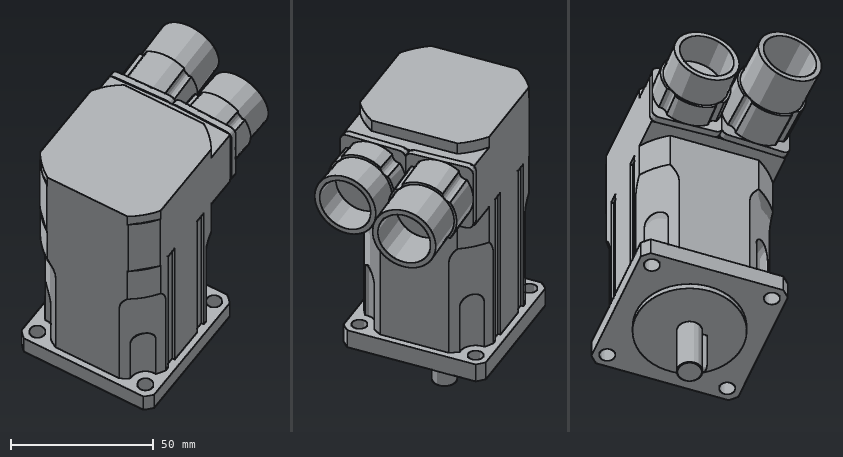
import cadquery as cq
import math


FLANGE_WIDTH = 55.0
FLANGE_THICKNESS = 7.3
FLANGE_CORNER_DIAMETER = 74.0
HOLE_CIRCLE_DIAMETER = 63.5
HOLE_DIAMETER = 5.6
HOLE_OFFSET = HOLE_CIRCLE_DIAMETER / 2 / math.sqrt(2)
PILOT_DIAMETER = 40.0
PILOT_HEIGHT = 2.3

SHAFT_DIAMETER = 9.0
SHAFT_LENGTH = 21.6
SHAFT_CHAMFER = 0.2
KEY_WIDTH = 3.0
KEY_LENGTH = 17.9
KEY_CLEARANCE = 0.6
KEY_REACH = 6.0

OVERALL_HEIGHT = 122.0
BODY_WIDTH = 50.0
BODY_TOP = OVERALL_HEIGHT - SHAFT_LENGTH - PILOT_HEIGHT
BODY_CORNER_RADIUS = 30.0
WAIST_CORNER_RADIUS = 28.3
WAIST_TOP = 45.6
WAIST_BLEND_RADIUS = 16.0
SCREW_RELIEF_RADIUS = 6.0
SCREW_RELIEF_TOP = 26.2
SLOT_WIDTH = 4.3
SLOT_OFFSET = 9.5
SLOT_DEPTH = 1.0

BLOCK_HEIGHT = 25.5
CAP_HEIGHT = 4.5
BLOCK_CHAMFER = 8.2
BLOCK_APEX_Y = 29.9
BLOCK_TOP = BODY_TOP - CAP_HEIGHT
BLOCK_BOTTOM = BLOCK_TOP - BLOCK_HEIGHT

TILT_DEGREES = 2.0
CONNECTOR_OFFSET = 12.7
COLLAR_DIAMETER = 26.0
BARREL_DIAMETER = 24.0
CONNECTOR_Z = BLOCK_BOTTOM + COLLAR_DIAMETER / 2
BORE_DIAMETER = 20.0
PLATE_THICKNESS = 2.6
PLATE_CORNER_RADIUS = 2.7
POWER_COLLAR_END = 17.6
POWER_BARREL_END = 34.2
SIGNAL_COLLAR_END = 11.7
SIGNAL_BARREL_END = 24.2


def cylinder(radius, bottom, top):
    return cq.Workplane("XY").workplane(offset=bottom).circle(radius).extrude(top - bottom)


def square_column(width, bottom, top):
    return cq.Workplane("XY").workplane(offset=bottom).rect(width, width).extrude(top - bottom)


def corner_positions():
    return [(sx * HOLE_OFFSET, sy * HOLE_OFFSET) for sx in (-1, 1) for sy in (-1, 1)]


def make_flange():
    """Square flange with turned corners, four screw holes and a round pilot below it."""
    flange = square_column(FLANGE_WIDTH, 0, FLANGE_THICKNESS)
    flange = flange.intersect(cylinder(FLANGE_CORNER_DIAMETER / 2, 0, FLANGE_THICKNESS))
    flange = flange.cut(
        cq.Workplane("XY").pushPoints(corner_positions()).circle(HOLE_DIAMETER / 2).extrude(FLANGE_THICKNESS)
    )
    return flange.union(cylinder(PILOT_DIAMETER / 2, -PILOT_HEIGHT, 0))


def turned_envelope():
    """Round envelope that trims the column's corners: a slimmer waist flares out to the upper part."""
    flare = BODY_CORNER_RADIUS - WAIST_CORNER_RADIUS
    flare_height = math.sqrt(WAIST_BLEND_RADIUS**2 - (WAIST_BLEND_RADIUS - flare) ** 2)
    half_angle = math.asin(flare_height / WAIST_BLEND_RADIUS) / 2
    arc_middle = (
        WAIST_CORNER_RADIUS + WAIST_BLEND_RADIUS * (1 - math.cos(half_angle)),
        WAIST_TOP + WAIST_BLEND_RADIUS * math.sin(half_angle),
    )
    return (
        cq.Workplane("XZ")
        .moveTo(0, 0)
        .lineTo(WAIST_CORNER_RADIUS, 0)
        .lineTo(WAIST_CORNER_RADIUS, WAIST_TOP)
        .threePointArc(arc_middle, (BODY_CORNER_RADIUS, WAIST_TOP + flare_height))
        .lineTo(BODY_CORNER_RADIUS, BODY_TOP)
        .lineTo(0, BODY_TOP)
        .close()
        .revolve(360, (0, 0, 0), (0, 1, 0))
    )


def make_screw_reliefs():
    """Round-ended clearance above each flange hole."""
    reliefs = (
        cq.Workplane("XY")
        .workplane(offset=FLANGE_THICKNESS)
        .pushPoints(corner_positions())
        .circle(SCREW_RELIEF_RADIUS)
        .extrude(SCREW_RELIEF_TOP - FLANGE_THICKNESS)
    )
    ends = (
        cq.Workplane("XY")
        .workplane(offset=SCREW_RELIEF_TOP)
        .pushPoints(corner_positions())
        .sphere(SCREW_RELIEF_RADIUS)
    )
    return reliefs.union(ends)


def make_side_slots():
    """Two shallow vertical slots in each of the -X and +X sides, from the flange to the block."""
    centres = [(sx * BODY_WIDTH / 2, sy * SLOT_OFFSET) for sx in (-1, 1) for sy in (-1, 1)]
    return (
        cq.Workplane("XY")
        .workplane(offset=FLANGE_THICKNESS)
        .pushPoints(centres)
        .rect(2 * SLOT_DEPTH, SLOT_WIDTH)
        .extrude(BLOCK_BOTTOM - FLANGE_THICKNESS)
    )


def make_block():
    """Block with chamfered front corners and a rear face of two halves that meet in a blunt V."""
    half = BODY_WIDTH / 2
    rear_edge_y = BLOCK_APEX_Y - half * math.tan(math.radians(TILT_DEGREES))
    return (
        cq.Workplane("XY")
        .workplane(offset=BLOCK_BOTTOM)
        .polyline([
            (-half + BLOCK_CHAMFER, -half),
            (half - BLOCK_CHAMFER, -half),
            (half, -half + BLOCK_CHAMFER),
            (half, rear_edge_y),
            (0, BLOCK_APEX_Y),
            (-half, rear_edge_y),
            (-half, -half + BLOCK_CHAMFER),
        ])
        .close()
        .extrude(BLOCK_HEIGHT)
    )


def make_column():
    """Square column with turned corners, with the connector block set between its waist and cap."""
    column = square_column(BODY_WIDTH, FLANGE_THICKNESS, BODY_TOP)
    column = column.intersect(turned_envelope())
    column = column.cut(make_screw_reliefs()).cut(make_side_slots())
    block_band = square_column(FLANGE_WIDTH, BLOCK_BOTTOM, BLOCK_TOP)
    return column.cut(block_band).union(make_block())


def make_shaft():
    """Output shaft with its chamfered end and a round-ended key on the -X side."""
    shaft_end = -PILOT_HEIGHT - SHAFT_LENGTH
    shaft = cylinder(SHAFT_DIAMETER / 2, shaft_end, -PILOT_HEIGHT)
    shaft = shaft.faces("<Z").chamfer(SHAFT_CHAMFER)
    key_middle_z = -PILOT_HEIGHT - KEY_CLEARANCE - KEY_LENGTH / 2
    key = (
        cq.Workplane("YZ")
        .center(0, key_middle_z)
        .slot2D(KEY_LENGTH, KEY_WIDTH, 90)
        .extrude(-KEY_REACH)
    )
    return shaft.union(key)


def make_motor():
    """Flange, housing column and shaft as one body."""
    return make_flange().union(make_column()).union(make_shaft())


def connector_disc(diameter, start, end):
    """Round section of an untilted connector along +Y."""
    return cq.Workplane("XZ").workplane(offset=-start).circle(diameter / 2).extrude(start - end)


def make_connector_plate():
    return (
        cq.Workplane("XZ")
        .rect(COLLAR_DIAMETER, COLLAR_DIAMETER)
        .extrude(-PLATE_THICKNESS)
        .edges("|Y")
        .fillet(PLATE_CORNER_RADIUS)
    )


def make_collar(collar_end):
    """Round collar with four screw grooves, each concentric with a rounded corner of the plate."""
    groove_spacing = COLLAR_DIAMETER - 2 * PLATE_CORNER_RADIUS
    grooves = (
        cq.Workplane("XZ")
        .workplane(offset=-PLATE_THICKNESS)
        .rect(groove_spacing, groove_spacing, forConstruction=True)
        .vertices()
        .circle(PLATE_CORNER_RADIUS)
        .extrude(PLATE_THICKNESS - collar_end)
    )
    return connector_disc(COLLAR_DIAMETER, PLATE_THICKNESS, collar_end).cut(grooves)


def make_connector(side, collar_end, barrel_end):
    """Connector on the -X (side -1) or +X (side +1) half of the block's rear face.

    The lengths run outward from that face. The plate and collar are cut flat on the
    mid-plane X = 0, where the two connectors meet.
    """
    connector = make_connector_plate().union(make_collar(collar_end))
    connector = connector.union(connector_disc(BARREL_DIAMETER, collar_end, barrel_end))
    connector = connector.cut(connector_disc(BORE_DIAMETER, collar_end, barrel_end))
    connector = (
        connector.translate((side * CONNECTOR_OFFSET, 0, 0))
        .rotate((0, 0, 0), (0, 0, 1), -side * TILT_DEGREES)
        .translate((0, BLOCK_APEX_Y, CONNECTOR_Z))
    )
    half_space_size = 3 * OVERALL_HEIGHT
    own_half = cq.Workplane("XY").box(half_space_size, half_space_size, half_space_size)
    own_half = own_half.translate((side * half_space_size / 2, 0, 0))
    return connector.intersect(own_half)


motor = make_motor()
power_connector = make_connector(-1, POWER_COLLAR_END, POWER_BARREL_END)
signal_connector = make_connector(1, SIGNAL_COLLAR_END, SIGNAL_BARREL_END)

bodies = [motor, power_connector, signal_connector]
result = cq.Compound.makeCompound([body.solids().val() for body in bodies])